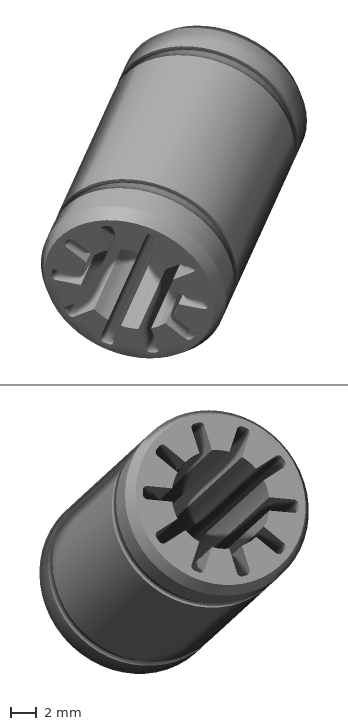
import cadquery as cq

length = 24.0
outer_diameter = 15.0
bore_diameter = 8.0

bevel_length = 0.98
bevel_depth = 0.58

groove_diameter = 14.3
groove_width = 1.1
groove_span = 17.5

slot_count = 10
slot_width = 1.08
slot_tip_radius = 6.34
slot_corner_radius = 0.35

outer_radius = outer_diameter / 2
groove_radius = groove_diameter / 2
half_length = length / 2
groove_outer = groove_span / 2
groove_inner = groove_outer - groove_width


def make_body():
    """Revolve the bevelled and grooved solid cylinder about Y."""
    upper_half = [
        (outer_radius, groove_inner),
        (groove_radius, groove_inner),
        (groove_radius, groove_outer),
        (outer_radius, groove_outer),
        (outer_radius, half_length - bevel_length),
        (outer_radius - bevel_depth, half_length),
        (0, half_length),
    ]
    lower_half = [(radius, -y) for radius, y in reversed(upper_half)]
    profile = cq.Workplane("XY").polyline(lower_half + upper_half).close()
    return profile.revolve(360, (0, 0, 0), (0, 1, 0))


def make_slot(angle):
    """Slot cutter from the axis outwards, with its floor corners rounded."""
    cutter = cq.Workplane("XY").box(slot_tip_radius, length, slot_width, centered=(False, True, True))
    cutter = cutter.edges("|Y and >X").fillet(slot_corner_radius)
    return cutter.rotate((0, 0, 0), (0, 1, 0), angle)


bore = cq.Workplane("XZ").circle(bore_diameter / 2).extrude(half_length, both=True)
result = make_body().cut(bore)
for index in range(slot_count):
    result = result.cut(make_slot(index * 360 / slot_count))